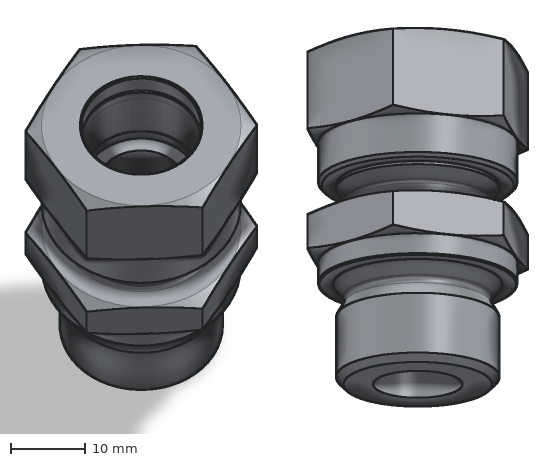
import cadquery as cq
import math


hex_flats = 27.0
collar_radius = 26.8 / 2
hex_chamfer_angle = 16.5
thread_radius = 22.0 / 2
tube_radius = 16.0 / 2
neck_radius = 19.7 / 2

thread_end_chamfer = 1.0
lower_thread_top = 9.45
flange_bottom = 14.08
body_hex_bottom = 17.05
body_hex_top = 23.1
upper_thread_bottom = 27.55
body_top = 39.1
tube_stop_height = 32.2

through_radius = 12.0 / 2
flange_chamfer = 0.2
undercut_angle = math.radians(30)
flange_cone_angle = math.radians(37)
undercut_round = 1.0
neck_fillet = 1.0
mouth_radius = 18.6 / 2
mouth_angle = math.radians(12)

nut_top = 46.0
nut_hex_bottom = 33.95
nut_bottom = 28.0
collar_chamfer = 0.5
nut_lip_height = 2.9
opening_chamfer = 0.25

ring_bottom = 33.8
ring_top_radius = 8.85
ring_collar_radius = 20.0 / 2
ring_bevel_radius = 8.25
ring_bevel_height = 1.05

nut_lip_bottom = nut_top - nut_lip_height


def seat_height(radius):
    """Height of the 45 degree nut seat at a given radius."""
    return nut_lip_bottom - (radius - tube_radius)


def mouth_radius_at(height):
    """Radius of the tapered body mouth at a given height."""
    return mouth_radius - (body_top - height) * math.tan(mouth_angle)


def revolve_profile(profile):
    """Turn a closed (radius, height) outline around the Z axis."""
    return profile.close().revolve(360, (0, 0, 0), (0, 1, 0))


def revolve_points(points):
    """Turn a straight-sided (radius, height) outline around the Z axis."""
    return revolve_profile(cq.Workplane("XZ").polyline(points))


def chamfered_hexagon(bottom, top):
    """Hexagon with corners on the Y axis, both ends turned to a shallow cone."""
    corner_radius = hex_flats / 2 / math.cos(math.pi / 6)
    chamfer_drop = (corner_radius - collar_radius) * math.tan(math.radians(hex_chamfer_angle))
    prism = (
        cq.Workplane("XY", origin=(0, 0, bottom))
        .transformed(rotate=(0, 0, 30))
        .polygon(6, 2 * corner_radius)
        .extrude(top - bottom)
    )
    cone_envelope = revolve_points([
        (0, bottom),
        (collar_radius, bottom),
        (corner_radius, bottom + chamfer_drop),
        (corner_radius, top - chamfer_drop),
        (collar_radius, top),
        (0, top),
    ])
    return prism.intersect(cone_envelope)


def make_lower_stem():
    """Lower thread, rounded undercut and flange."""
    lower_tangent_radius = neck_radius + undercut_round * (1 - math.cos(undercut_angle))
    upper_tangent_radius = neck_radius + undercut_round * (1 - math.cos(flange_cone_angle))
    lower_tangent_height = (
        lower_thread_top + (thread_radius - lower_tangent_radius) / math.tan(undercut_angle)
    )
    round_center_height = lower_tangent_height + undercut_round * math.sin(undercut_angle)
    upper_tangent_height = round_center_height + undercut_round * math.sin(flange_cone_angle)
    cone_top_radius = (
        upper_tangent_radius + (flange_bottom - upper_tangent_height) * math.tan(flange_cone_angle)
    )
    return revolve_profile(
        cq.Workplane("XZ")
        .moveTo(0, 0)
        .lineTo(thread_radius - thread_end_chamfer, 0)
        .lineTo(thread_radius, thread_end_chamfer)
        .lineTo(thread_radius, lower_thread_top)
        .lineTo(lower_tangent_radius, lower_tangent_height)
        .threePointArc((neck_radius, round_center_height), (upper_tangent_radius, upper_tangent_height))
        .lineTo(cone_top_radius, flange_bottom)
        .lineTo(collar_radius - flange_chamfer, flange_bottom)
        .lineTo(collar_radius, flange_bottom + flange_chamfer)
        .lineTo(collar_radius, body_hex_bottom)
        .lineTo(0, body_hex_bottom)
    )


def make_upper_stem():
    """Filleted neck above the hexagon, rounded undercut and upper thread."""
    tangent_radius = neck_radius + undercut_round * (1 - math.cos(undercut_angle))
    tangent_height = upper_thread_bottom - (thread_radius - tangent_radius) / math.tan(undercut_angle)
    neck_top = tangent_height - undercut_round * math.sin(undercut_angle)
    half_angle = undercut_angle / 2
    round_middle = (
        neck_radius + undercut_round * (1 - math.cos(half_angle)),
        neck_top + undercut_round * math.sin(half_angle),
    )
    fillet_inset = neck_fillet * (1 - math.sqrt(0.5))
    return revolve_profile(
        cq.Workplane("XZ")
        .moveTo(0, body_hex_top)
        .lineTo(neck_radius + neck_fillet, body_hex_top)
        .threePointArc(
            (neck_radius + fillet_inset, body_hex_top + fillet_inset),
            (neck_radius, body_hex_top + neck_fillet),
        )
        .lineTo(neck_radius, neck_top)
        .threePointArc(round_middle, (tangent_radius, tangent_height))
        .lineTo(thread_radius, upper_thread_bottom)
        .lineTo(thread_radius, body_top)
        .lineTo(0, body_top)
    )


def make_body_bore():
    """Through hole, tube socket and tapered mouth for the cutting ring."""
    return revolve_points([
        (0, 0),
        (through_radius, 0),
        (through_radius, tube_stop_height),
        (tube_radius, tube_stop_height),
        (tube_radius, ring_bottom),
        (mouth_radius_at(ring_bottom), ring_bottom),
        (mouth_radius, body_top),
        (0, body_top),
    ])


def make_body():
    hexagon = chamfered_hexagon(body_hex_bottom, body_hex_top)
    return make_lower_stem().union(hexagon).union(make_upper_stem()).cut(make_body_bore())


def make_cutting_ring():
    """Ring wedged between the body mouth and the nut seat."""
    ring_top = seat_height(ring_top_radius)
    return revolve_points([
        (tube_radius, ring_bottom),
        (mouth_radius_at(ring_bottom), ring_bottom),
        (mouth_radius, body_top),
        (ring_collar_radius, body_top),
        (ring_collar_radius, seat_height(ring_collar_radius)),
        (ring_top_radius, ring_top),
        (ring_bevel_radius, ring_top),
        (tube_radius, ring_top - ring_bevel_height),
    ])


def make_nut():
    """Union nut: hexagon on a round collar, bored for the thread, seat and tube."""
    collar = revolve_points([
        (0, nut_bottom),
        (collar_radius - collar_chamfer, nut_bottom),
        (collar_radius, nut_bottom + collar_chamfer),
        (collar_radius, nut_hex_bottom),
        (0, nut_hex_bottom),
    ])
    bore = revolve_points([
        (0, nut_bottom),
        (thread_radius, nut_bottom),
        (thread_radius, seat_height(thread_radius)),
        (tube_radius, nut_lip_bottom),
        (tube_radius, nut_top - opening_chamfer),
        (tube_radius + opening_chamfer, nut_top),
        (0, nut_top),
    ])
    return chamfered_hexagon(nut_hex_bottom, nut_top).union(collar).cut(bore)


body = make_body()
cutting_ring = make_cutting_ring()
nut = make_nut()

result = cq.Compound.makeCompound([body.val(), cutting_ring.val(), nut.val()])